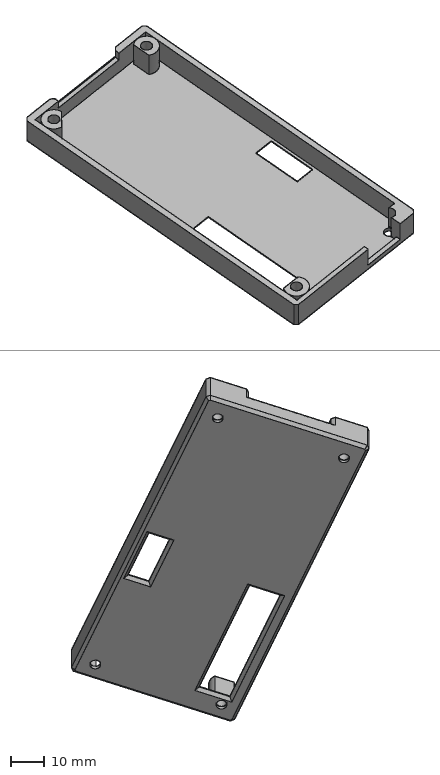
import cadquery as cq

LENGTH = 112.0
WIDTH = 53.0
HEIGHT = 10.0
EDGE_CHAMFER = 1.0
FLOOR = 1.3

WALL_LEFT = 2.5
WALL_RIGHT = 1.6
WALL_SIDE = 2.0
CAVITY_LEFT = -LENGTH / 2 + WALL_LEFT
CAVITY_RIGHT = LENGTH / 2 - WALL_RIGHT
CAVITY_BACK = WIDTH / 2 - WALL_SIDE

BOSS_RADIUS = 3.9
BOSS_FLAT = 2.4
BOSS_LEFT_X = -49.5
BOSS_RIGHT_X = 50.5
BOSS_Y = 20.5
BOSS_HOLE = 3.6
FLOOR_HOLE = 3.2
BOSSES = [
    (BOSS_LEFT_X, BOSS_Y, 270),
    (BOSS_LEFT_X, -BOSS_Y, 45),
    (BOSS_RIGHT_X, -BOSS_Y, 180),
]

POST_HOLE = 4.0
POST_SIZE = 5.9
POST_RIGHT = LENGTH / 2 - EDGE_CHAMFER
POST_BACK = WIDTH / 2 - EDGE_CHAMFER

OPENING_DEPTH = 3.0
RIGHT_OPENING_DEPTH = 7.0
LEFT_OPENING_FRONT = -14.1
LEFT_OPENING_BACK = 12.7
FLARE = 1.0
RIGHT_OPENING_FRONT = 5.4
RIGHT_OPENING_BACK = POST_BACK - POST_SIZE

WINDOW_BEVEL = 1.0
WINDOWS = [
    (7.6, 20.2, 17.0, 6.7),
    (26.9, -17.0, 41.2, 10.0),
]

def box(x0, x1, y0, y1, z0, z1):
    """Block spanning the given limits."""
    return cq.Workplane("XY").box(x1 - x0, y1 - y0, z1 - z0, centered=False).translate((x0, y0, z0))

def tray():
    """Open-topped box with chamfered upright corners and bottom edges."""
    body = cq.Workplane("XY").box(LENGTH, WIDTH, HEIGHT, centered=(True, True, False))
    body = body.edges("|Z").chamfer(EDGE_CHAMFER)
    body = body.faces("<Z").edges().chamfer(EDGE_CHAMFER)
    return body.cut(box(CAVITY_LEFT, CAVITY_RIGHT, -CAVITY_BACK, CAVITY_BACK, FLOOR, HEIGHT))

def boss(x, y, flat_angle):
    """Round pillar rooted in the floor and rising to the rim, flattened on one side."""
    height = HEIGHT - FLOOR / 2
    pillar = cq.Workplane("XY").circle(BOSS_RADIUS).extrude(height)
    pillar = pillar.cut(box(BOSS_FLAT, BOSS_RADIUS, -BOSS_RADIUS, BOSS_RADIUS, 0, height))
    return pillar.rotate((0, 0, 0), (0, 0, 1), flat_angle).translate((x, y, FLOOR / 2))

def screw_hole(x, y, diameter):
    """Clearance hole above the floor, narrowing where it passes through the floor."""
    upper = cq.Workplane("XY", origin=(x, y, FLOOR)).circle(diameter / 2).extrude(HEIGHT)
    return upper.union(cq.Workplane("XY", origin=(x, y, 0)).circle(FLOOR_HOLE / 2).extrude(HEIGHT))

def post_block(bottom, top):
    """Block over the square footprint of the corner post."""
    return box(POST_RIGHT - POST_SIZE, POST_RIGHT, POST_BACK - POST_SIZE, POST_BACK, bottom, top)

def left_opening():
    """Rim opening in the -X wall, flared outwards on its sides and bottom."""
    bottom = HEIGHT - OPENING_DEPTH
    middle = (LEFT_OPENING_FRONT + LEFT_OPENING_BACK) / 2
    width = LEFT_OPENING_BACK - LEFT_OPENING_FRONT
    slot = box(-LENGTH / 2, CAVITY_LEFT, LEFT_OPENING_FRONT, LEFT_OPENING_BACK, bottom, HEIGHT)
    flare = (
        cq.Workplane("YZ", origin=(-LENGTH / 2, middle, HEIGHT))
        .rect(width + 2 * FLARE, 2 * (OPENING_DEPTH + FLARE))
        .workplane(offset=FLARE)
        .rect(width, 2 * OPENING_DEPTH)
        .loft(ruled=True)
    )
    return slot.union(flare)

result = tray()
for boss_x, boss_y, angle in BOSSES:
    result = result.union(boss(boss_x, boss_y, angle))

result = result.union(post_block(FLOOR / 2, HEIGHT))

for boss_x, boss_y, angle in BOSSES:
    result = result.cut(screw_hole(boss_x, boss_y, BOSS_HOLE))
result = result.cut(screw_hole(BOSS_RIGHT_X, BOSS_Y, POST_HOLE))

result = result.cut(left_opening())
result = result.cut(
    box(CAVITY_RIGHT, LENGTH / 2, RIGHT_OPENING_FRONT, RIGHT_OPENING_BACK, HEIGHT - RIGHT_OPENING_DEPTH, HEIGHT)
)

for window_x, window_y, window_length, window_width in WINDOWS:
    window = cq.Workplane("XY").rect(window_length, window_width).extrude(FLOOR)
    bevel = (
        cq.Workplane("XY")
        .rect(window_length + 2 * WINDOW_BEVEL, window_width + 2 * WINDOW_BEVEL)
        .workplane(offset=WINDOW_BEVEL)
        .rect(window_length, window_width)
        .loft(ruled=True)
    )
    result = result.cut(window.union(bevel).translate((window_x, window_y, 0)))